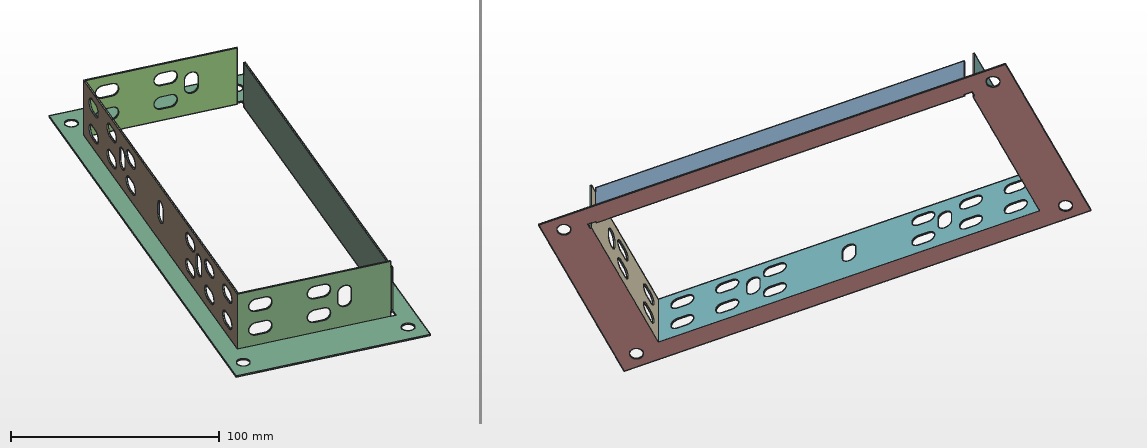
import cadquery as cq

FLANGE_LENGTH = 245.0
FLANGE_WIDTH = 100.0
SHEET = 0.8
SCREW_HOLE_DIAMETER = 6.5
SCREW_SPACING_X = 225.2
SCREW_SPACING_Y = 84.8

COLLAR_LENGTH = 201.6
COLLAR_WIDTH = 81.5
COLLAR_HEIGHT = 32.0
REAR_WALL_HEIGHT = 25.5
REAR_WALL_INSET = 4.2
END_WALL_INSET = 2.7

SLOT_LENGTH = 12.0
SLOT_WIDTH = 7.0
FRONT_ROWS_Z = (9.3, 24.3)
END_ROWS_Z = (10.0, 23.5)
UPRIGHT_SLOT_Z = 18.0
FRONT_SLOT_OFFSETS = (39.0, 64.0, 87.5)
FRONT_UPRIGHT_SLOTS_X = (-50.2, 0, 50.2)
END_SLOTS_Y = (-29.0, 1.2)
END_UPRIGHT_SLOT_Y = 14.5

ALONG_SLOT = 0
UPRIGHT_SLOT = 90


def make_flange():
    """Flat frame with a screw hole near each corner."""
    return (
        cq.Workplane("XY")
        .rect(FLANGE_LENGTH, FLANGE_WIDTH)
        .rect(COLLAR_LENGTH, COLLAR_WIDTH)
        .extrude(SHEET)
        .faces(">Z")
        .workplane(origin=(0, 0, SHEET))
        .rect(SCREW_SPACING_X, SCREW_SPACING_Y, forConstruction=True)
        .vertices()
        .hole(SCREW_HOLE_DIAMETER)
    )


def make_wall(x_start, x_end, y_start, y_end, height):
    """Upright wall standing in the flange opening, flush with the flange underside."""
    return cq.Workplane("XY").box(
        x_end - x_start, y_end - y_start, height, centered=False
    ).translate((x_start, y_start, 0))


def cut_slots(body, plane, centers, angle, depth):
    """Cut round-ended slots symmetrically about the given plane."""
    cutter = (
        cq.Workplane(plane)
        .pushPoints(centers)
        .slot2D(SLOT_LENGTH, SLOT_WIDTH, angle)
        .extrude(depth, both=True)
    )
    return body.cut(cutter)


half_length = COLLAR_LENGTH / 2
half_width = COLLAR_WIDTH / 2

front_slots = [
    (side * offset, z)
    for side in (-1, 1)
    for offset in FRONT_SLOT_OFFSETS
    for z in FRONT_ROWS_Z
]
front_upright_slots = [(x, UPRIGHT_SLOT_Z) for x in FRONT_UPRIGHT_SLOTS_X]
front_plane = cq.Plane(origin=(0, -half_width, 0), xDir=(1, 0, 0), normal=(0, -1, 0))
front_wall = make_wall(-half_length, half_length, -half_width, -half_width + SHEET, COLLAR_HEIGHT)
front_wall = cut_slots(front_wall, front_plane, front_slots, ALONG_SLOT, 2 * SHEET)
front_wall = cut_slots(front_wall, front_plane, front_upright_slots, UPRIGHT_SLOT, 2 * SHEET)

end_wall_rear = half_width - END_WALL_INSET
end_slots = [(y, z) for y in END_SLOTS_Y for z in END_ROWS_Z]
end_upright_slots = [(END_UPRIGHT_SLOT_Y, UPRIGHT_SLOT_Z)]
left_wall = make_wall(-half_length, -half_length + SHEET, -half_width, end_wall_rear, COLLAR_HEIGHT)
end_walls = left_wall.union(left_wall.mirror("YZ"))
end_walls = cut_slots(end_walls, "YZ", end_slots, ALONG_SLOT, COLLAR_LENGTH)
end_walls = cut_slots(end_walls, "YZ", end_upright_slots, UPRIGHT_SLOT, COLLAR_LENGTH)

rear_half_length = half_length - REAR_WALL_INSET
rear_wall = make_wall(
    -rear_half_length, rear_half_length, half_width - SHEET, half_width, REAR_WALL_HEIGHT
)

result = make_flange().union(front_wall).union(end_walls).union(rear_wall)